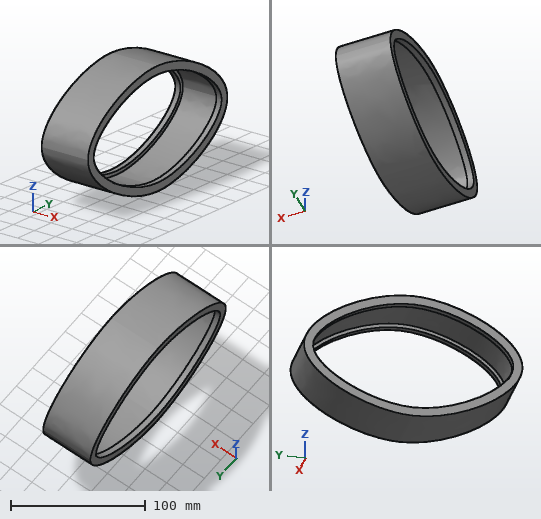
import cadquery as cq

length = 44.0
outer_half_width = 166.67 / 2
outer_half_height = 100.0 / 2

wall_thickness = 4.0
lip_height = 3.0
lip_width = 5.0

outer_handles = (36.0, 23.8)
recess_handles = (35.1, 20.3)
opening_handles = (34.4, 17.8)


def lens_prism(depth, inset, handles):
    """Lens-shaped prism centred on the origin, with one cubic curve per quarter."""
    half_width = outer_half_width - inset
    half_height = outer_half_height - inset
    top_handle, side_handle = handles
    profile = cq.Workplane("YZ", origin=(-depth / 2, 0, 0)).moveTo(0, half_height)

    for y_sign, z_sign in ((1, 1), (1, -1), (-1, -1), (-1, 1)):
        quarter = [
            (0, z_sign * half_height),
            (y_sign * top_handle, z_sign * half_height),
            (y_sign * half_width, z_sign * side_handle),
            (y_sign * half_width, 0),
        ]
        starts_at_side = y_sign != z_sign
        if starts_at_side:
            quarter.reverse()
        profile = profile.bezier(quarter)
    return profile.close().extrude(depth)


body = lens_prism(length, 0, outer_handles)

opening = lens_prism(length, wall_thickness + lip_height, opening_handles)

recess = lens_prism(length - 2 * lip_width, wall_thickness, recess_handles)

result = body.cut(opening).cut(recess)